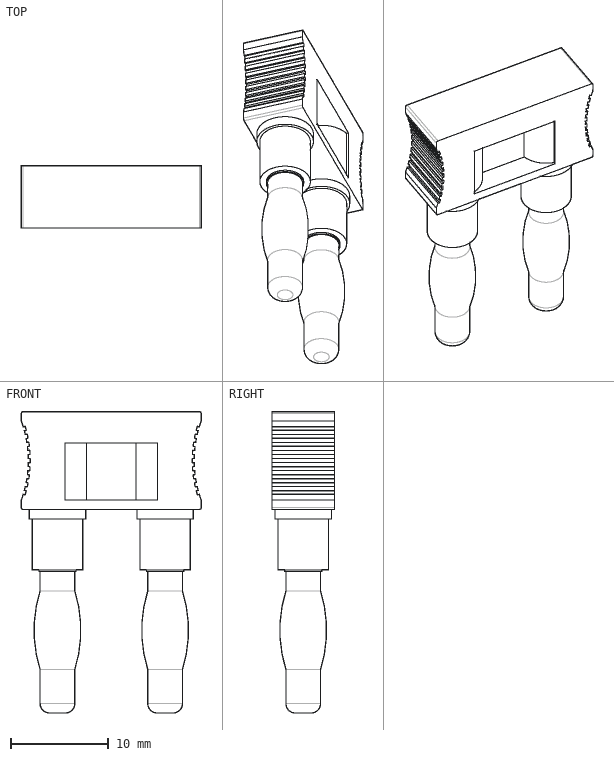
import cadquery as cq
import math


total_height = 30.8
housing_width = 18.4
housing_depth = 6.4
housing_height = 10.0
corner_radius = 0.2

grip_land = 1.0
grip_sag = 0.7
groove_count = 9
groove_angle = 4
groove_width = 0.4
groove_depth = 0.2
grip_chord = housing_height - 2 * grip_land
grip_radius = (grip_chord**2 / 4 + grip_sag**2) / (2 * grip_sag)

pocket_width = 9.45
pocket_height = 5.8
pocket_depth = 2.45
pocket_floor = 1.0
column_radius = 3.08

pin_spacing = 11.0
collar_radius = 2.9
collar_length = 1.0
sleeve_radius = 2.6
sleeve_length = 5.17

pin_radius = 1.8
rim_radius = 1.9
rim_length = 0.2
neck_length = 1.97
bulge_radius = 2.4
bulge_length = 8
tip_radius = 1.0

middle_height = housing_height / 2
sleeve_end = -(collar_length + sleeve_length)
pin_end = housing_height - total_height
pin_positions = [-pin_spacing / 2, pin_spacing / 2]


def cylinder_down(x, top, radius, length):
    """Upright cylinder hanging from the height `top`."""
    return cq.Workplane("XY", origin=(x, 0, top)).circle(radius).extrude(-length)


def grip_cylinder(center_x, radius):
    """Cylinder along Y at the middle height, whose side hollows one end of the housing."""
    return (
        cq.Workplane("XZ", origin=(center_x, 0, middle_height))
        .circle(radius)
        .extrude(housing_depth / 2, both=True)
    )


def grip_cut(side):
    """Hollow of one end, with radial grooves of constant depth along its arc."""
    center_x = side * (housing_width / 2 - grip_sag + grip_radius)
    axis_start = (center_x, 0, middle_height)
    axis_end = (center_x, housing_depth, middle_height)
    groove_length = grip_radius + groove_depth
    slab = cq.Workplane("XY").box(groove_length, housing_depth, groove_width)
    slab = slab.translate((center_x - side * groove_length / 2, 0, middle_height))
    cut = grip_cylinder(center_x, grip_radius)
    groove_zone = grip_cylinder(center_x, grip_radius + groove_depth)
    for index in range(groove_count):
        angle = (index - (groove_count - 1) / 2) * groove_angle
        cut = cut.union(groove_zone.intersect(slab.rotate(axis_start, axis_end, angle)))
    return cut


def make_pocket():
    """Rectangular pocket without the columns around the pin axes."""
    front = -housing_depth / 2
    pocket = cq.Workplane("XY").box(
        pocket_width, pocket_depth, pocket_height, centered=(True, False, False)
    ).translate((0, front, pocket_floor))
    for x in pin_positions:
        pocket = pocket.cut(cylinder_down(x, housing_height, column_radius, housing_height))
    return pocket


def make_housing():
    """Grip block with its pocket and the two sleeves."""
    housing = (
        cq.Workplane("XY")
        .box(housing_width, housing_depth, housing_height, centered=(True, True, False))
        .edges("|Y")
        .fillet(corner_radius)
    )
    for side in (-1, 1):
        housing = housing.cut(grip_cut(side))
    housing = housing.cut(make_pocket())
    for x in pin_positions:
        housing = housing.union(cylinder_down(x, 0, collar_radius, collar_length))
        housing = housing.union(cylinder_down(x, -collar_length, sleeve_radius, sleeve_length))
    return housing


def make_pin(x):
    """Turned pin with a rim, a neck, a barrel-shaped bulge and a rounded tip."""
    rim_bottom = sleeve_end - rim_length
    bulge_top = rim_bottom - neck_length
    bulge_middle = bulge_top - bulge_length / 2
    bulge_bottom = bulge_top - bulge_length
    tip_start = pin_end + tip_radius
    tip_diagonal = tip_radius * math.sqrt(0.5)
    return (
        cq.Workplane("XZ")
        .moveTo(0, sleeve_end)
        .lineTo(rim_radius, sleeve_end)
        .lineTo(rim_radius, rim_bottom)
        .lineTo(pin_radius, rim_bottom)
        .lineTo(pin_radius, bulge_top)
        .threePointArc((bulge_radius, bulge_middle), (pin_radius, bulge_bottom))
        .lineTo(pin_radius, tip_start)
        .threePointArc(
            (pin_radius - tip_radius + tip_diagonal, tip_start - tip_diagonal),
            (pin_radius - tip_radius, pin_end),
        )
        .lineTo(0, pin_end)
        .close()
        .revolve(360, (0, 0, 0), (0, 1, 0))
        .translate((x, 0, 0))
    )


housing = make_housing()
pins = [make_pin(x) for x in pin_positions]

result = cq.Compound.makeCompound([housing.val(), *[pin.val() for pin in pins]])